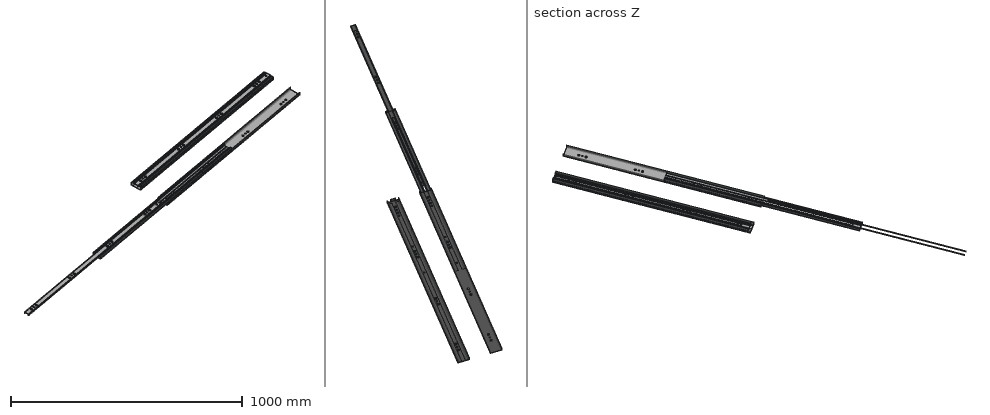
import cadquery as cq

overall_length = 1818.0
overall_width = 202.0
overall_height = 18.0
sheet = 1.5

rail_length = 898.0
outer_width = 53.0
outer_height = 15.0
outer_bend_radius = 2.0

middle_length = 887.0
middle_width = 44.0
middle_base = 4.5
middle_top = 17.3
middle_bend_radius = 2.0
crown_radius = 13.0
crown_top = 10.0
lip_width = 7.0
lip_drop = 4.5
slot_width = 10.0
front_bridge = 36.0

inner_width = 22.0
inner_top = overall_height
inner_base = 9.5

large_hole = 8.2
small_hole = 5.0
hole_spacing = 33.0
first_group = 80.0
group_pitch = 256.0
group_count = 4
inner_groups = [first_group + i * group_pitch for i in range(group_count)]
third_outer_group = 600.0
outer_groups = [*inner_groups[:2], third_outer_group, inner_groups[3]]
outer_single_holes = [498.0, 644.0, 816.0]
inner_rear_hole = 16.0

rear_y = overall_length / 2
slide_x = (overall_width - outer_width) / 2
inner_travel = overall_length - rail_length
middle_travel = 456.0


def bar(width, length, bottom, top):
    """A rectangular bar from y = 0 toward -Y, centred on x = 0."""
    block = cq.Workplane("XY").box(width, length, top - bottom, centered=(True, False, False))
    return block.translate((0, -length, bottom))


def rod(radius, length, axis_z):
    """A round rod from y = 0 toward -Y, with its axis above or below the origin."""
    return cq.Workplane("XZ").center(0, axis_z).circle(radius).extrude(length)


def channel(width, length, bottom, top, bend_radius):
    """A sheet channel that is open at the top, with rounded bends along its floor."""
    outside = bar(width, length, bottom, top).edges("|Y and <Z").fillet(bend_radius)
    inside = bar(width - 2 * sheet, length, bottom + sheet, top).edges("|Y and <Z").fillet(bend_radius - sheet)
    return outside.cut(inside)


def curled_channel():
    """The middle rail's walls and floor: a closed tube, opened along its top between two curled lips."""
    tube = bar(middle_width, middle_length, middle_base, middle_top).edges("|Y").fillet(middle_bend_radius)
    hollow = bar(middle_width - 2 * sheet, middle_length, middle_base + sheet, middle_top - sheet)
    hollow = hollow.edges("|Y").fillet(middle_bend_radius - sheet)
    mouth_width = middle_width - 2 * lip_width
    mouth = bar(mouth_width, middle_length, middle_base + sheet, middle_top)
    lips = bar(mouth_width + 2 * sheet, middle_length, middle_top - lip_drop, middle_top)
    return tube.cut(hollow).union(lips).cut(mouth)


def drill(rail, diameter, distances):
    """Vertical through holes on the centre line at the given distances from the rear end."""
    places = [(0, -distance) for distance in distances]
    return rail.cut(cq.Workplane("XY").pushPoints(places).circle(diameter / 2).extrude(overall_height))


def drill_groups(rail, groups):
    """Hole groups of two large holes around a small one, centred at the given distances from the rear end."""
    half = hole_spacing / 2
    large_places = [group + side * half for group in groups for side in (-1, 1)]
    return drill(drill(rail, large_hole, large_places), small_hole, groups)


def make_outer_rail():
    """The widest rail, which stays in place."""
    rail = channel(outer_width, rail_length, 0, outer_height, outer_bend_radius)
    return drill(drill_groups(rail, outer_groups), small_hole, outer_single_holes)


def make_middle_rail():
    """The curled channel with its crowned and slotted floor."""
    rail = curled_channel()
    crown_axis = crown_top - crown_radius
    crown = rod(crown_radius, middle_length, crown_axis)
    crown = crown.intersect(bar(middle_width, middle_length, middle_base, crown_top))
    hollow = rod(crown_radius - sheet, middle_length, crown_axis)
    slot = bar(slot_width, middle_length - front_bridge, middle_base, crown_top)
    return rail.union(crown).cut(hollow).cut(slot)


def make_inner_rail():
    """The narrowest rail, which slides out the furthest."""
    rail = bar(inner_width, rail_length, inner_base, inner_top)
    rail = rail.cut(bar(inner_width - 2 * sheet, rail_length, inner_base, inner_top - sheet))
    return drill(drill_groups(rail, inner_groups), small_hole, [inner_rear_hole])


outer_rail = make_outer_rail()
middle_rail = make_middle_rail()
inner_rail = make_inner_rail()

bodies = []
for centre_x, extension in ((-slide_x, 0), (slide_x, 1)):
    for rail, travel in ((outer_rail, 0), (middle_rail, middle_travel), (inner_rail, inner_travel)):
        bodies.append(rail.translate((centre_x, rear_y - extension * travel, 0)).solids().val())

result = cq.Compound.makeCompound(bodies)